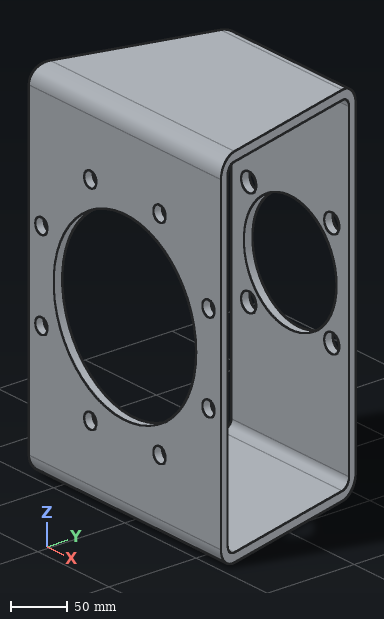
import cadquery as cq

tube_depth = 200.0
tube_height = 400.0
wall = 10.0
outer_corner_radius = 20.0
inner_corner_radius = outer_corner_radius - wall

front_length = 270.0
back_length = 160.0

front_bore = 200.0
front_bolt_circle = 254.0
front_bolt_count = 8
front_bolt_hole = 17.0

back_bore = 130.0
back_bolt_circle = 165.0
back_bolt_count = 4
back_bolt_hole = 21.0

front_y = -tube_depth / 2
back_y = tube_depth / 2


def rounded_bar(depth, height, corner_radius):
    """Bar along X, centred on the origin, with rounded long edges."""
    return cq.Workplane("XY").box(front_length, depth, height).edges("|X").fillet(corner_radius)


def mitred_tube():
    outside = rounded_bar(tube_depth, tube_height, outer_corner_radius)
    inside = rounded_bar(tube_depth - 2 * wall, tube_height - 2 * wall, inner_corner_radius)
    plan = (
        cq.Workplane("XY")
        .polyline([
            (-front_length / 2, front_y),
            (front_length / 2, front_y),
            (back_length / 2, back_y),
            (-back_length / 2, back_y),
        ])
        .close()
        .extrude(tube_height / 2, both=True)
    )
    return outside.cut(inside).intersect(plan)


def flange_cutter(outer_face_y, bore, bolt_circle, bolt_count, bolt_hole):
    """Bore and bolt holes, reaching two wall thicknesses either side of a wall face.

    The bolt holes straddle the horizontal and vertical centrelines.
    """
    first_angle = 180.0 / bolt_count
    face = cq.Workplane("XZ", origin=(0, outer_face_y, 0))
    bore_cutter = face.circle(bore / 2).extrude(2 * wall, both=True)
    bolt_cutters = (
        face.polarArray(bolt_circle / 2, first_angle, 360, bolt_count)
        .circle(bolt_hole / 2)
        .extrude(2 * wall, both=True)
    )
    return bore_cutter.union(bolt_cutters)


front_cutter = flange_cutter(front_y, front_bore, front_bolt_circle, front_bolt_count, front_bolt_hole)
back_cutter = flange_cutter(back_y, back_bore, back_bolt_circle, back_bolt_count, back_bolt_hole)

result = mitred_tube().cut(front_cutter).cut(back_cutter)